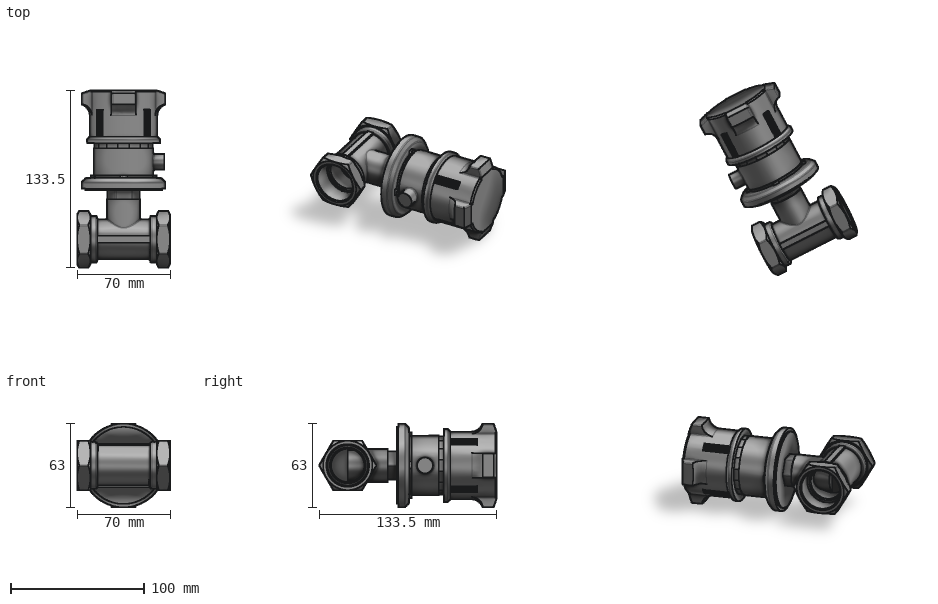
import cadquery as cq
import math


overall_length = 133.5
tee_length = 70.0
nut_across_flats = 37.4
nut_corner_radius = 1.1
nut_width = 10.1
nut_face_diameter = 37.1
nut_chamfer_angle = 30.0
collar_diameter = 35.2
collar_width = 5.0
collar_round = 1.2
tube_diameter = 30.5
tube_round = 0.8
pad_height = 16.3
pad_width = 5.0
mouth_diameter = 32.2
mouth_chamfer = 1.0
socket_diameter = 30.3
socket_depth = 15.1
seat_diameter = 27.0
seat_chamfer = 1.0
bore_diameter = 25.0
bore_floor_offset = 5.3

branch_diameter = 25.0
branch_end = 30.2
branch_round = 0.5
neck_across_flats = 21.5
neck_corner_radius = 1.0

lip_start = 36.8
lip_height = 1.2
lip_diameter = 58.0
disc_diameter = 63.0
disc_rim_height = 5.0
disc_chamfer = 3.1
disc_round = 1.2

foot_height = 2.0
foot_diameter = 43.3
barrel_diameter = 45.0
barrel_end = 68.2
facet_count = 16
stud_count = 4
stud_circle_radius = 23.4
stud_diameter = 3.0
stud_length = 5.2
pipe_diameter = 12.0
pipe_reach = 30.7
pipe_height = 58.1
pipe_round = 0.8

cap_start = 72.2
cap_flange_diameter = 55.0
cap_flange_height = 3.0
cap_flange_round = 1.1
cap_diameter = 51.0
cap_end_bevel = 1.3
cap_bore_diameter = 48.0
cap_end_wall = 2.0
slot_width = 5.9
slot_length = 20.2
lug_count = 4
lug_width = 18.2
lug_reach = 31.5
lug_length = 19.0
lug_back_slope = 2.4
lug_root = 22.7
lug_flank_radius = 8.5
lug_back_radius = 24.4
lug_round = 0.8
lug_base_round = 0.8
pick_margin = 0.1

spring_outer_diameter = 46.7
spring_wire = 0.8
spring_pitch = 1.67
spring_start_angle = 160.0

nut_circumradius = nut_across_flats / math.sqrt(3)
nut_tip = nut_circumradius - nut_corner_radius * (2 / math.sqrt(3) - 1)
cap_end = overall_length - nut_tip
disc_start = lip_start + lip_height
disc_rim_end = disc_start + disc_rim_height
disc_end = disc_rim_end + disc_chamfer
barrel_start = disc_end + foot_height
cap_flange_step = (cap_flange_diameter - cap_diameter) / 2
cap_wall_start = cap_start + cap_flange_height + cap_flange_step
cavity_start = cap_start + cap_flange_height
cavity_end = cap_end - cap_end_wall
tube_half = tee_length / 2 - nut_width - collar_width


def rod_y(diameter, start, end):
    """Round bar on the Y axis from start to end."""
    return cq.Workplane("XZ", origin=(0, start, 0)).circle(diameter / 2).extrude(start - end)


def rod_x(diameter, start, end):
    """Round bar on the X axis from start to end."""
    return cq.Workplane("YZ", origin=(start, 0, 0)).circle(diameter / 2).extrude(end - start)


def make_nut():
    """Hexagonal end of the tee on +X, its corners chamfered by a cone on both faces."""
    inner_x = tee_length / 2 - nut_width
    outer_x = tee_length / 2
    nut = (
        cq.Workplane("YZ", origin=(inner_x, 0, 0))
        .polygon(6, 2 * nut_circumradius)
        .extrude(nut_width)
        .edges("|X")
        .fillet(nut_corner_radius)
    )
    cone_rise = (nut_circumradius - nut_face_diameter / 2) * math.tan(math.radians(nut_chamfer_angle))
    envelope = (
        cq.Workplane("XY")
        .moveTo(inner_x, 0)
        .lineTo(inner_x, nut_face_diameter / 2)
        .lineTo(inner_x + cone_rise, nut_circumradius)
        .lineTo(outer_x - cone_rise, nut_circumradius)
        .lineTo(outer_x, nut_face_diameter / 2)
        .lineTo(outer_x, 0)
        .close()
        .revolve(360, (0, 0, 0), (1, 0, 0))
    )
    return nut.intersect(envelope)


def make_tee_end():
    """Nut and rounded collar of the +X end, with a cove blending the collar into the tube."""
    collar = rod_x(collar_diameter, tube_half, tube_half + collar_width)
    collar = collar.faces("<X").edges().fillet(collar_round)
    tube_radius = tube_diameter / 2
    cove = (
        cq.Workplane("XY")
        .moveTo(tube_half, 0)
        .lineTo(tube_half - tube_round, 0)
        .lineTo(tube_half - tube_round, tube_radius)
        .radiusArc((tube_half, tube_radius + tube_round), -tube_round)
        .close()
        .revolve(360, (0, 0, 0), (1, 0, 0))
    )
    return make_nut().union(collar).union(cove)


def make_socket():
    """Stepped blind bore of the +X end, as a solid to cut away."""
    face = tee_length / 2
    floor = face - socket_depth
    return (
        cq.Workplane("XY")
        .moveTo(face, 0)
        .lineTo(face, mouth_diameter / 2)
        .lineTo(face - mouth_chamfer, socket_diameter / 2)
        .lineTo(floor, socket_diameter / 2)
        .lineTo(floor, seat_diameter / 2)
        .lineTo(floor - seat_chamfer, bore_diameter / 2)
        .lineTo(bore_floor_offset, bore_diameter / 2)
        .lineTo(bore_floor_offset, 0)
        .close()
        .revolve(360, (0, 0, 0), (1, 0, 0))
    )


def make_tee():
    """Tee body with flat pads above and below; the branch closes the bore at its middle."""
    tube = rod_x(tube_diameter, -tube_half, tube_half)
    branch = rod_y(branch_diameter, 0, branch_end)
    tee = tube.union(branch)
    saddle = cq.selectors.BoxSelector(
        (-branch_diameter / 2, tube_diameter / 4, -branch_diameter / 2),
        (branch_diameter / 2, tube_diameter / 2, branch_diameter / 2),
    )
    tee = tee.edges(saddle).fillet(branch_round)
    pad = cq.Workplane("XY").box(2 * tube_half, pad_width, 2 * pad_height)
    tee = tee.union(pad)
    end = make_tee_end()
    socket = make_socket()
    tee = tee.union(end).union(end.mirror("YZ"))
    tee = tee.cut(socket).cut(socket.mirror("YZ"))
    return tee.union(branch)


def make_neck():
    """Hexagonal neck between the branch and the disc."""
    neck = (
        cq.Workplane("XZ", origin=(0, branch_end, 0))
        .polygon(6, neck_across_flats * 2 / math.sqrt(3))
        .extrude(branch_end - lip_start)
    )
    return neck.edges("|Y").fillet(neck_corner_radius)


def make_disc():
    """Disc with a chamfered, softly rounded barrel side and a thin lip on the other face."""
    lip = rod_y(lip_diameter, lip_start, disc_start)
    disc = rod_y(disc_diameter, disc_start, disc_end).faces(">Y").edges().chamfer(disc_chamfer)
    disc = disc.edges("not(<Y)").edges("%CIRCLE").fillet(disc_round)
    return lip.union(disc)


def make_foot():
    """Reduced foot of the barrel with oblong studs standing around it on the disc."""
    foot = rod_y(foot_diameter, disc_end, barrel_start)
    stud = (
        cq.Workplane("XZ", origin=(0, disc_end, stud_circle_radius))
        .slot2D(stud_length, stud_diameter)
        .extrude(-foot_height)
    )
    for index in range(stud_count):
        foot = foot.union(stud.rotate((0, 0, 0), (0, 1, 0), index * 360 / stud_count))
    return foot


def make_barrel():
    """Round barrel with a side pipe on +X and a faceted neck below the cap."""
    barrel = rod_y(barrel_diameter, barrel_start, barrel_end)
    pipe = (
        cq.Workplane("YZ").center(pipe_height, 0).circle(pipe_diameter / 2).extrude(pipe_reach)
    )
    barrel = barrel.union(pipe)
    pipe_foot = cq.selectors.BoxSelector(
        (0, pipe_height - pipe_diameter / 2, -pipe_diameter),
        (barrel_diameter / 2, pipe_height + pipe_diameter / 2, pipe_diameter),
    )
    barrel = barrel.edges(pipe_foot).fillet(pipe_round)
    facets = (
        cq.Workplane("XZ", origin=(0, barrel_end, 0))
        .transformed(rotate=(0, 0, 180 / facet_count))
        .polygon(facet_count, barrel_diameter)
        .extrude(barrel_end - cap_start)
    )
    return barrel.union(facets)


def make_lug():
    """Grip lug on the +Z side of the cap, with a hollow flank running out onto the cap."""
    flank_end = cap_end - lug_length
    cap_radius = cap_diameter / 2
    lug = (
        cq.Workplane("YZ", origin=(-lug_width / 2, 0, 0))
        .moveTo(cap_end, lug_back_radius)
        .lineTo(cap_end - lug_back_slope, lug_reach)
        .lineTo(flank_end, lug_reach)
        .lineTo(flank_end, lug_root)
        .lineTo(cap_end, lug_root)
        .close()
        .extrude(lug_width)
    )
    lug = lug.edges(">X or <X").edges("not(|Z or <Z)").fillet(lug_round)
    lug = lug.union(rod_y(cap_diameter, flank_end, cap_end - cap_end_bevel))

    base_height = math.sqrt(cap_radius**2 - (lug_width / 2) ** 2)
    base = cq.selectors.BoxSelector(
        (-lug_width, flank_end, base_height - pick_margin),
        (lug_width, cap_end, base_height + pick_margin),
    )
    lug = lug.edges(base).edges("|Y").fillet(lug_base_round)

    envelope = (
        cq.Workplane("XY")
        .moveTo(0, flank_end)
        .lineTo(cap_radius, flank_end)
        .radiusArc((cap_radius + lug_flank_radius, flank_end + lug_flank_radius), lug_flank_radius)
        .lineTo(cap_radius + lug_flank_radius, cap_end)
        .lineTo(0, cap_end)
        .close()
        .revolve(360, (0, 0, 0), (0, 1, 0))
    )

    base_reach = (lug_width / 2 + lug_base_round) * cap_radius / (cap_radius + lug_base_round)
    footprint = cq.Workplane("XY").box(
        2 * base_reach, 2 * cap_end, lug_reach, centered=(True, True, False)
    )
    return lug.intersect(envelope).intersect(footprint)


def make_cap():
    """Hollow cap with a bottom flange, four grip lugs and a slot between each two of them."""
    flange = rod_y(cap_flange_diameter, cap_start, cap_wall_start)
    flange = flange.faces(">Y").edges().chamfer(cap_flange_step)
    flange = flange.edges(cq.selectors.RadiusNthSelector(-1)).edges(">Y").fillet(cap_flange_round)
    cap = rod_y(cap_diameter, cap_start, cap_end).faces(">Y").edges().chamfer(cap_end_bevel)
    lug = make_lug()
    for index in range(lug_count):
        cap = cap.union(lug.rotate((0, 0, 0), (0, 1, 0), index * 360 / lug_count))
    cap = cap.union(flange)
    cap = cap.cut(rod_y(cap_bore_diameter, cavity_start, cavity_end))
    slot = cq.Workplane("XY").box(
        cap_diameter, slot_length, slot_width, centered=(False, False, True)
    ).translate((0, cap_wall_start, 0))
    for index in range(lug_count):
        cap = cap.cut(slot.rotate((0, 0, 0), (0, 1, 0), (index + 0.5) * 360 / lug_count))
    return cap


def make_valve():
    """Tee, disc, barrel and cap as one solid."""
    valve = make_tee()
    for section in (make_neck(), make_disc(), make_foot(), make_barrel(), make_cap()):
        valve = valve.union(section)
    return valve


def make_spring():
    """Round-wire coil spring filling the height of the cap's cavity."""
    coil_radius = (spring_outer_diameter - spring_wire) / 2
    coil_height = cavity_end - cavity_start - spring_wire
    path = cq.Wire.makeHelix(spring_pitch, coil_height, coil_radius)
    wire = (
        cq.Workplane("XZ", origin=(coil_radius, 0, 0))
        .circle(spring_wire / 2)
        .sweep(cq.Workplane(path), isFrenet=True)
    )
    wire = wire.rotate((0, 0, 0), (0, 0, 1), spring_start_angle)
    wire = wire.rotate((0, 0, 0), (1, 0, 0), -90)
    return wire.translate((0, cavity_start + spring_wire / 2, 0))


valve = make_valve()
spring = make_spring()
result = cq.Compound.makeCompound([valve.val(), spring.val()])